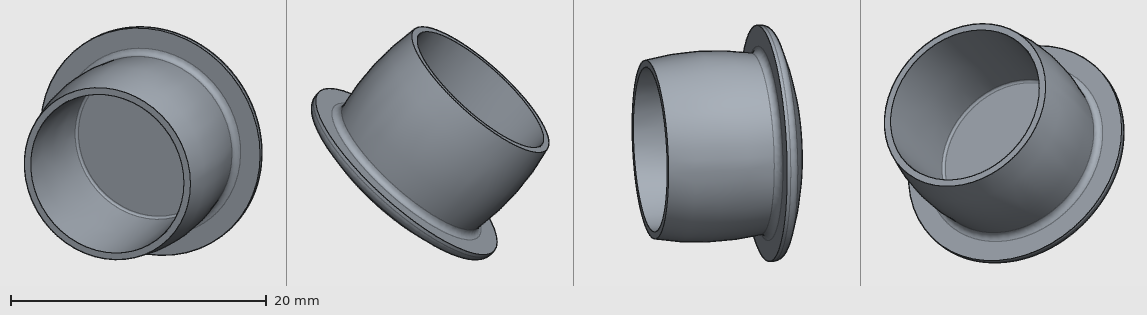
import cadquery as cq


flange_radius = 9.25
head_height = 2.64
dome_radius = 23.6
rim_round = 0.7

skirt_length = 9.0
skirt_end_radius = 7.0
skirt_bulge = 0.47
skirt_root_fillet = 0.5

bore_mouth_radius = 6.45
bore_floor_radius = 6.25
bore_depth = skirt_length
bore_floor_fillet = 0.2

AXIS_START = (0, 0, 0)
AXIS_END = (0, 1, 0)
TOLERANCE = 1e-4


def dome_height(radius):
    """Height of the dome surface above the flange underside."""
    drop = dome_radius - (dome_radius**2 - radius**2) ** 0.5
    return head_height - drop


def circle_edge(body, radius, y):
    """Select the circular edge of this radius at this position along the axis."""

    def matches(edge):
        on_level = abs(edge.Center().y - y) < TOLERANCE
        return on_level and abs(edge.radius() - radius) < TOLERANCE

    return body.edges("%CIRCLE").filter(matches)


def make_head():
    """Flange disc with a spherical top and a rounded outer rim."""
    half_radius = flange_radius / 2
    profile = (
        cq.Workplane("XY")
        .lineTo(flange_radius, 0)
        .lineTo(flange_radius, dome_height(flange_radius))
        .threePointArc((half_radius, dome_height(half_radius)), (0, head_height))
        .close()
    )
    head = profile.revolve(360, AXIS_START, AXIS_END)
    return circle_edge(head, flange_radius, dome_height(flange_radius)).fillet(rim_round)


def add_skirt(head):
    """Solid barrel under the flange, filleted into the underside."""
    skirt = (
        cq.Workplane("XY")
        .lineTo(skirt_end_radius, 0)
        .threePointArc(
            (skirt_end_radius + skirt_bulge, -skirt_length / 2),
            (skirt_end_radius, -skirt_length),
        )
        .lineTo(0, -skirt_length)
        .close()
        .revolve(360, AXIS_START, AXIS_END)
    )
    body = head.union(skirt)
    return circle_edge(body, skirt_end_radius, 0).fillet(skirt_root_fillet)


def make_bore():
    """Tapered cavity with a rounded floor corner, open at the skirt end."""
    floor_y = bore_depth - skirt_length
    cavity = (
        cq.Workplane("XY")
        .moveTo(0, -skirt_length)
        .lineTo(bore_mouth_radius, -skirt_length)
        .lineTo(bore_floor_radius, floor_y)
        .lineTo(0, floor_y)
        .close()
        .revolve(360, AXIS_START, AXIS_END)
    )
    return cavity.faces(">Y").edges().fillet(bore_floor_fillet)


result = add_skirt(make_head()).cut(make_bore())